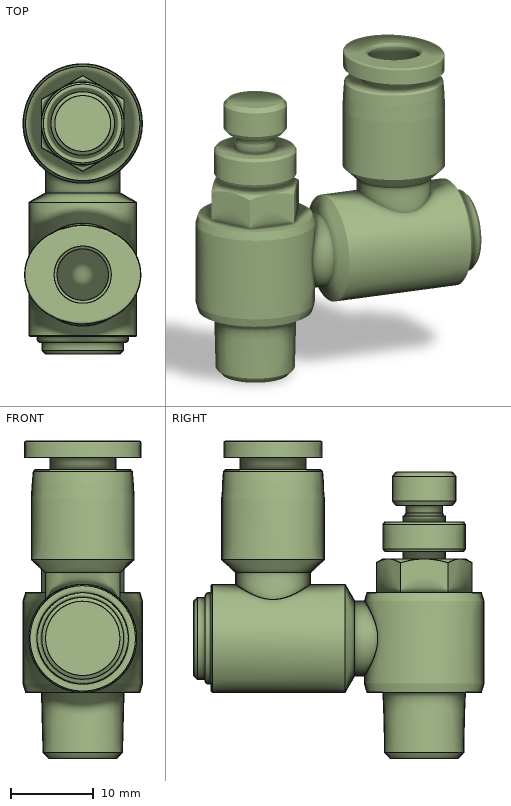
import cadquery as cq
import math


total_height = 38.3
arm_axis_z = 14.5
arm_end_y = -27.8
port_axis_y = -18.23

thread_tip_radius = 4.05
thread_low_radius = 4.8
thread_top_radius = 4.98
thread_chamfer_height = 0.75
body_bottom_z = 8.0
body_top_z = 20.05
body_radius = 7.2
body_chamfer_radial = 0.3
body_chamfer_height = 1.05

hex_flats = 10.0
hex_top_z = 24.1
hex_chamfer_angle = 30.0

stem_radius = 2.55
stem_top_z = 29.25
nut_bottom_z = 24.97
nut_top_z = 28.57
nut_radius = 4.98
nut_chamfer_radial = 0.23
nut_chamfer_height = 0.35
neck_radius = 2.22
neck_shoulder_radius = 2.37
neck_bottom_z = 29.6
knob_bottom_z = 30.53
knob_top_z = 34.6
knob_radius = 3.83
knob_chamfer_radial = 0.45
knob_chamfer_height = 0.55

branch_radius = 4.52
arm_radius = 6.5
arm_cone_start_y = -8.4
arm_cone_end_y = -9.55
arm_front_y = -25.7
arm_chamfer = 0.15
ring_section_radius = 0.45
ring_outer_radius = 5.5
ring_centre_y = -25.95
cap_radius = 4.95
cap_chamfer = 0.45

sleeve_bottom_z = 24.0
sleeve_cone_bottom_z = 22.45
sleeve_radius = 6.2
sleeve_taper_start_z = 31.33
sleeve_joint_z = 33.32
sleeve_joint_radius = 6.1
sleeve_top_z = 34.85
sleeve_top_radius = 5.97
sleeve_top_chamfer = 0.23
collar_radius = 4.0
flange_bottom_z = 36.3
flange_length_x = 14.0
flange_length_y = 11.87
flange_fillet = 0.23
bore_radius = 3.1
bore_chamfer = 0.35


def turned(profile):
    """Solid of revolution about Z from (radius, z) points, closed along the axis."""
    on_axis_start = (0, profile[0][1])
    on_axis_end = (0, profile[-1][1])
    outline = [on_axis_start] + profile + [on_axis_end]
    return cq.Workplane("XZ").polyline(outline).close().revolve(360, (0, 0), (0, 1))


def chamfered_disc(bottom, top, radius, chamfer_radial, chamfer_height):
    """Disc about Z with the same chamfer on both rims."""
    rim_radius = radius - chamfer_radial
    return turned([
        (rim_radius, bottom),
        (radius, bottom + chamfer_height),
        (radius, top - chamfer_height),
        (rim_radius, top),
    ])


def threaded_stub():
    return turned([
        (thread_tip_radius, 0),
        (thread_low_radius, thread_chamfer_height),
        (thread_top_radius, body_bottom_z),
    ])


def hexagon():
    """Hexagon with corners on Y, its top corners cut by a cone."""
    corner_radius = hex_flats / 2 / math.cos(math.pi / 6)
    corner_drop = (corner_radius - hex_flats / 2) * math.tan(math.radians(hex_chamfer_angle))
    prism = (
        cq.Workplane("XY", origin=(0, 0, body_top_z))
        .transformed(rotate=(0, 0, 90))
        .polygon(6, 2 * corner_radius)
        .extrude(hex_top_z - body_top_z)
    )
    envelope = turned([
        (corner_radius, body_top_z),
        (corner_radius, hex_top_z - corner_drop),
        (hex_flats / 2, hex_top_z),
    ])
    return prism.intersect(envelope)


def adjusting_screw():
    stem = turned([
        (stem_radius, body_top_z),
        (stem_radius, stem_top_z),
        (neck_shoulder_radius, stem_top_z),
        (neck_radius, neck_bottom_z),
        (neck_radius, knob_top_z),
    ])
    nut = chamfered_disc(nut_bottom_z, nut_top_z, nut_radius, nut_chamfer_radial, nut_chamfer_height)
    knob = chamfered_disc(knob_bottom_z, knob_top_z, knob_radius, knob_chamfer_radial, knob_chamfer_height)
    return stem.union(nut).union(knob)


def arm():
    """Arm turned about Z by distance from the body axis, then laid along -Y."""
    barrel = turned([
        (branch_radius, 0),
        (branch_radius, -arm_cone_start_y),
        (arm_radius, -arm_cone_end_y),
        (arm_radius, -arm_front_y - arm_chamfer),
        (arm_radius - arm_chamfer, -arm_front_y),
        (cap_radius, -arm_front_y),
        (cap_radius, -arm_end_y - cap_chamfer),
        (cap_radius - cap_chamfer, -arm_end_y),
    ])
    ring = cq.Workplane(cq.Solid.makeTorus(
        ring_outer_radius - ring_section_radius,
        ring_section_radius,
        cq.Vector(0, 0, -ring_centre_y),
    ))
    upright = barrel.union(ring)
    return upright.rotate((0, 0, 0), (1, 0, 0), 90).translate((0, 0, arm_axis_z))


def tube_port():
    """Sleeve, collar and oval release flange, standing on the arm axis."""
    sleeve = turned([
        (branch_radius, arm_axis_z),
        (branch_radius, sleeve_cone_bottom_z),
        (sleeve_radius, sleeve_bottom_z),
        (sleeve_radius, sleeve_taper_start_z),
        (sleeve_joint_radius, sleeve_joint_z),
        (sleeve_top_radius, sleeve_top_z - sleeve_top_chamfer),
        (sleeve_top_radius - sleeve_top_chamfer, sleeve_top_z),
        (collar_radius, sleeve_top_z),
        (collar_radius, flange_bottom_z),
    ])
    flange = (
        cq.Workplane("XY", origin=(0, 0, flange_bottom_z))
        .ellipse(flange_length_x / 2, flange_length_y / 2)
        .extrude(total_height - flange_bottom_z)
        .faces(">Z").edges().fillet(flange_fillet)
    )
    return sleeve.union(flange).translate((0, port_axis_y, 0))


def tube_bore():
    """Blind bore for the tube, ending level with the foot of the sleeve."""
    bore = turned([
        (bore_radius, sleeve_bottom_z),
        (bore_radius, total_height - bore_chamfer),
        (bore_radius + bore_chamfer, total_height),
    ])
    return bore.translate((0, port_axis_y, 0))


body = chamfered_disc(body_bottom_z, body_top_z, body_radius, body_chamfer_radial, body_chamfer_height)

result = (
    body.union(threaded_stub())
    .union(hexagon())
    .union(adjusting_screw())
    .union(arm())
    .union(tube_port())
    .cut(tube_bore())
)